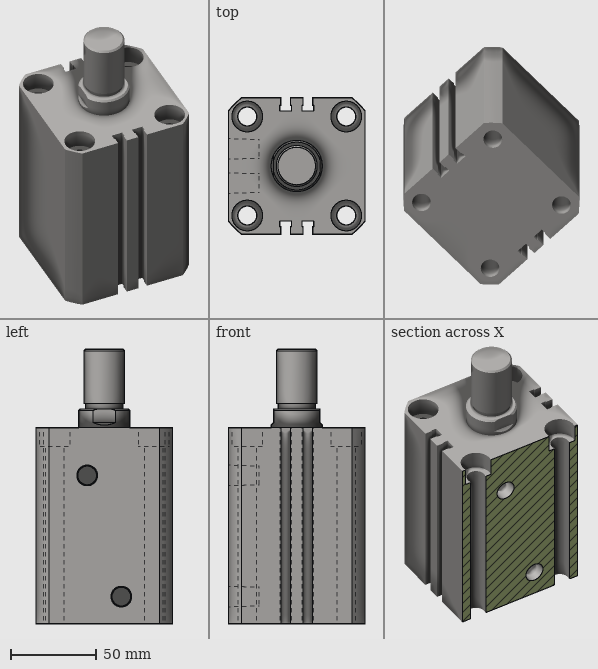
import cadquery as cq
import math

housing_width = 80.0
housing_height = 115.0
corner_flat_end = 32.4

mount_spacing = 58.0
mount_diameter = 11.0
mount_head_diameter = 18.0
mount_head_depth = 11.0

slot_offset = 6.5
slot_mouth_width = 5.6
slot_base_width = 6.7
slot_lip_depth = 4.5
slot_depth = 7.7

port_mouth_diameter = 12.1
port_depth = 18.0
port_taper = 1 / 16
port_positions = [(10.0, 87.0), (-10.0, 16.0)]

rod_diameter = 24.0
rod_length = 46.0
thread_length = 32.0
neck_diameter = 22.0
collar_diameter = 30.0
collar_height = 11.0
edge_chamfer = 1.0
flats_width = 27.0
flats_start = 3.0


def make_slot_cutter(center_x, side):
    """T-shaped slot along Z, open at the face on the given side of Y (+1 or -1)."""
    face_y = side * housing_width / 2
    lip_center_y = face_y - side * slot_lip_depth / 2
    base_depth = slot_depth - slot_lip_depth
    base_center_y = face_y - side * (slot_lip_depth + base_depth / 2)
    mouth = (
        cq.Workplane("XY")
        .center(center_x, lip_center_y)
        .rect(slot_mouth_width, slot_lip_depth)
        .extrude(housing_height)
    )
    base = (
        cq.Workplane("XY")
        .center(center_x, base_center_y)
        .rect(slot_base_width, base_depth)
        .extrude(housing_height)
    )
    return mouth.union(base)


def make_port_cutter(y, z):
    """Blind tapered port running in +X from the -X face."""
    floor_diameter = port_mouth_diameter - port_taper * port_depth
    face_center = cq.Vector(-housing_width / 2, y, z)
    inward = cq.Vector(1, 0, 0)
    return cq.Solid.makeCone(
        port_mouth_diameter / 2, floor_diameter / 2, port_depth, face_center, inward
    )


def make_housing():
    corner_radius = math.hypot(housing_width / 2, corner_flat_end)
    block = cq.Workplane("XY").rect(housing_width, housing_width).extrude(housing_height)
    body = block.intersect(cq.Workplane("XY").circle(corner_radius).extrude(housing_height))

    body = (
        body.faces(">Z")
        .workplane(origin=(0, 0, housing_height))
        .rect(mount_spacing, mount_spacing, forConstruction=True)
        .vertices()
        .cboreHole(mount_diameter, mount_head_diameter, mount_head_depth)
    )
    for side in (-1, 1):
        for center_x in (-slot_offset, slot_offset):
            body = body.cut(make_slot_cutter(center_x, side))
    for y, z in port_positions:
        body = body.cut(make_port_cutter(y, z))
    return body


def make_flat_cutter():
    """Material outside the +X wrench flat; its lower end slopes out at 45 degrees."""
    flat_x = flats_width / 2
    outer_x = collar_diameter / 2
    slope_drop = outer_x - flat_x
    return (
        cq.Workplane("XZ")
        .moveTo(flat_x, flats_start)
        .lineTo(outer_x, flats_start - slope_drop)
        .lineTo(outer_x, collar_height)
        .lineTo(flat_x, collar_height)
        .close()
        .extrude(collar_diameter / 2, both=True)
    )


def make_rod():
    neck_length = rod_length - thread_length - collar_height
    collar = (
        cq.Workplane("XY")
        .circle(collar_diameter / 2)
        .extrude(collar_height)
        .faces(">Z")
        .chamfer(edge_chamfer)
    )
    flat_cutter = make_flat_cutter()
    collar = collar.cut(flat_cutter).cut(flat_cutter.mirror("YZ"))

    neck = (
        cq.Workplane("XY")
        .workplane(offset=collar_height)
        .circle(neck_diameter / 2)
        .extrude(neck_length)
    )
    thread = (
        cq.Workplane("XY")
        .workplane(offset=collar_height + neck_length)
        .circle(rod_diameter / 2)
        .extrude(thread_length)
        .faces(">Z")
        .chamfer(edge_chamfer)
    )
    return collar.union(neck).union(thread).translate((0, 0, housing_height))


housing = make_housing()
rod = make_rod()
result = cq.Compound.makeCompound([housing.solids().val(), rod.solids().val()])